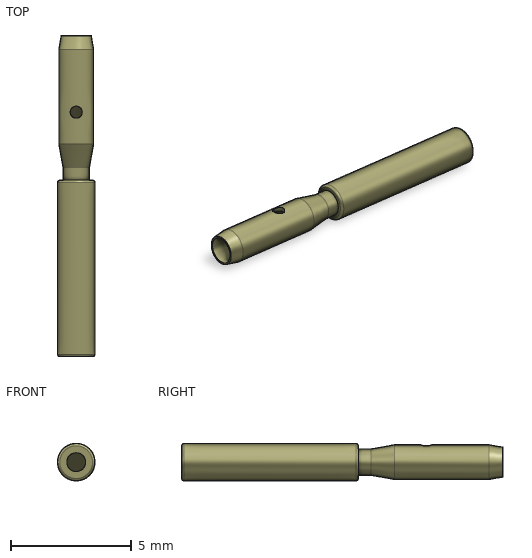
import cadquery as cq

TOTAL_LENGTH = 13.33
END_Y = TOTAL_LENGTH

SLEEVE_DIAMETER = 1.56
SLEEVE_LENGTH = 7.33
SLEEVE_EDGE_RADIUS = 0.1
SOCKET_BORE_DIAMETER = 0.78
SOCKET_BORE_DEPTH = 5.0

NECK_DIAMETER = 1.1
NECK_LENGTH = 0.53
CONE_LENGTH = 0.97

BARREL_DIAMETER = 1.45
TIP_DIAMETER = 1.25
TIP_LENGTH = 0.57
CRIMP_BORE_DIAMETER = 1.1
CRIMP_BORE_DEPTH = 4.0

INSPECTION_HOLE_DIAMETER = 0.5
INSPECTION_HOLE_FROM_END = 3.18


def cylinder_along_y(diameter, start_y, length):
    """Cylinder on the part axis that runs from start_y toward +Y."""
    base = cq.Workplane("XZ", origin=(0, start_y, 0))
    return base.circle(diameter / 2).extrude(-length)


def make_sleeve():
    sleeve = cylinder_along_y(SLEEVE_DIAMETER, 0, SLEEVE_LENGTH)
    return sleeve.edges("%CIRCLE").fillet(SLEEVE_EDGE_RADIUS)


def make_neck_and_barrel():
    """Revolve the neck, cone, barrel and tapered tip as one profile."""
    cone_start_y = SLEEVE_LENGTH + NECK_LENGTH
    barrel_start_y = cone_start_y + CONE_LENGTH
    tip_start_y = END_Y - TIP_LENGTH
    profile = (
        cq.Workplane("XY")
        .moveTo(0, SLEEVE_LENGTH)
        .lineTo(NECK_DIAMETER / 2, SLEEVE_LENGTH)
        .lineTo(NECK_DIAMETER / 2, cone_start_y)
        .lineTo(BARREL_DIAMETER / 2, barrel_start_y)
        .lineTo(BARREL_DIAMETER / 2, tip_start_y)
        .lineTo(TIP_DIAMETER / 2, END_Y)
        .lineTo(0, END_Y)
        .close()
    )
    return profile.revolve(360, (0, 0, 0), (0, 1, 0))


def make_inspection_hole():
    """Cutter from the part axis up through the top wall of the barrel."""
    hole_y = END_Y - INSPECTION_HOLE_FROM_END
    base = cq.Workplane("XY", origin=(0, hole_y, 0))
    return base.circle(INSPECTION_HOLE_DIAMETER / 2).extrude(BARREL_DIAMETER)


socket_bore = cylinder_along_y(SOCKET_BORE_DIAMETER, 0, SOCKET_BORE_DEPTH)
crimp_bore = cylinder_along_y(CRIMP_BORE_DIAMETER, END_Y - CRIMP_BORE_DEPTH, CRIMP_BORE_DEPTH)

result = (
    make_sleeve()
    .union(make_neck_and_barrel())
    .cut(socket_bore)
    .cut(crimp_bore)
    .cut(make_inspection_hole())
)